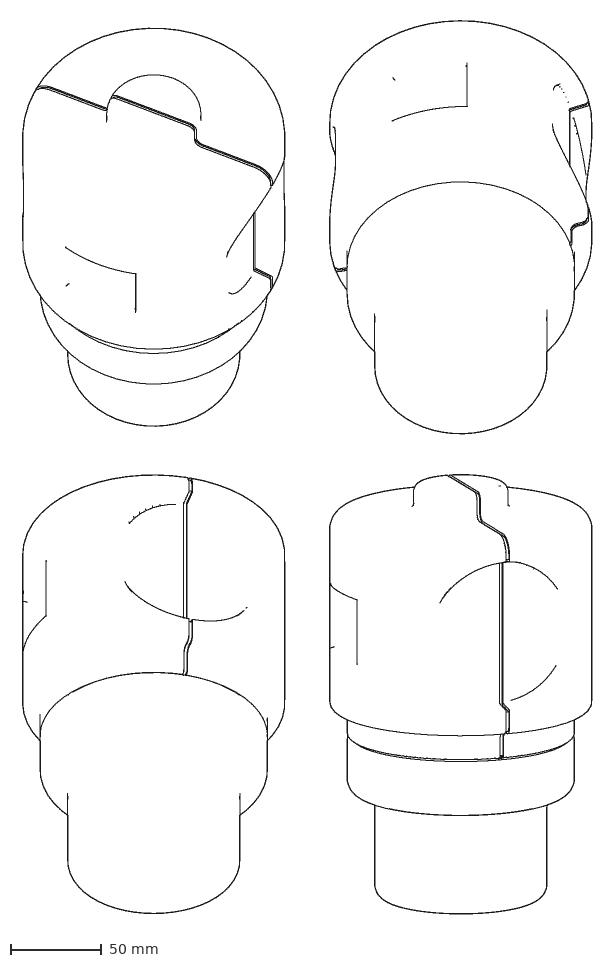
import cadquery as cq
import math

BODY_RADIUS = 72.5
COLLAR_RADIUS = 62.8
SHANK_RADIUS = 47.5
KNOB_RADIUS = 26.0

TOTAL_HEIGHT = 234.5
BODY_TOP = 219.3
BODY_BOTTOM = 107.5
GROOVE_MID = 91.5
COLLAR_BOTTOM = 67.5
SHANK_TOP = 50.7

SHANK_ROUND = 7.5
BODY_BOTTOM_ROUND = 4.0
BODY_TOP_ROUND = 10.3
KNOB_ROUND = 4.2

GROOVE_WIDTH = 1.5
GROOVE_DEPTH = 2.8
GROOVE_LIP_ROUND = 1.5

TURN_ANGLE = 6.7
DISC_ANGLES = (TURN_ANGLE, TURN_ANGLE + 180)
DRAFT_ANGLE = 9
RECESS_FLOOR_ROUND = 1.0
RECESS_LIP_ROUND = 1.0

DISC_MID = 163.5
DISC_FLOOR_DISTANCE = 62.0
DISC_FLOOR_RADIUS = 40.3
DISC_CUT_LENGTH = 18.8

WINDOW_MID = 160.5
WINDOW_FLOOR_DISTANCE = 67.0
WINDOW_WIDTH = 41.7
WINDOW_HEIGHT = 35.6
WINDOW_CUT_LENGTH = 9.4

SEAM_WIDTH = 2.0
SEAM_DEPTH = 1.2
SLAB_LENGTH = 2 * BODY_RADIUS + 2.3

SURFACE_TOLERANCE = 0.02


def quarter_arc(profile, center, radius, start_angle, turn):
    """Add a 90 degree arc about center; turn is +1 counter-clockwise, -1 clockwise."""
    def point(angle):
        return (
            center[0] + radius * math.cos(math.radians(angle)),
            center[1] + radius * math.sin(math.radians(angle)),
        )

    profile = profile.lineTo(*point(start_angle))
    return profile.threePointArc(point(start_angle + 45 * turn), point(start_angle + 90 * turn))


def half_profile():
    """Closed half section in the XZ plane, from the axis outward and upward."""
    groove_low = GROOVE_MID - GROOVE_WIDTH / 2
    groove_high = GROOVE_MID + GROOVE_WIDTH / 2
    lip_center = COLLAR_RADIUS - GROOVE_LIP_ROUND
    groove_floor = COLLAR_RADIUS - GROOVE_DEPTH
    step_mid = ((SHANK_RADIUS + COLLAR_RADIUS) / 2, (SHANK_TOP + COLLAR_BOTTOM) / 2)

    profile = cq.Workplane("XZ").moveTo(0, 0)
    profile = quarter_arc(profile, (SHANK_RADIUS - SHANK_ROUND, SHANK_ROUND), SHANK_ROUND, -90, 1)
    profile = profile.lineTo(SHANK_RADIUS, SHANK_TOP)

    profile = profile.tangentArcPoint(step_mid, relative=False)
    profile = profile.tangentArcPoint((COLLAR_RADIUS, COLLAR_BOTTOM), relative=False)

    profile = quarter_arc(profile, (lip_center, groove_low - GROOVE_LIP_ROUND), GROOVE_LIP_ROUND, 0, 1)
    profile = profile.lineTo(groove_floor, groove_low).lineTo(groove_floor, groove_high)
    profile = quarter_arc(profile, (lip_center, groove_high + GROOVE_LIP_ROUND), GROOVE_LIP_ROUND, -90, 1)

    neck_round_center = (COLLAR_RADIUS + BODY_BOTTOM_ROUND, BODY_BOTTOM - BODY_BOTTOM_ROUND)
    profile = quarter_arc(profile, neck_round_center, BODY_BOTTOM_ROUND, 180, -1)
    body_low_center = (BODY_RADIUS - BODY_BOTTOM_ROUND, BODY_BOTTOM + BODY_BOTTOM_ROUND)
    profile = quarter_arc(profile, body_low_center, BODY_BOTTOM_ROUND, -90, 1)
    body_high_center = (BODY_RADIUS - BODY_TOP_ROUND, BODY_TOP - BODY_TOP_ROUND)
    profile = quarter_arc(profile, body_high_center, BODY_TOP_ROUND, 0, 1)
    knob_low_center = (KNOB_RADIUS + KNOB_ROUND, BODY_TOP + KNOB_ROUND)
    profile = quarter_arc(profile, knob_low_center, KNOB_ROUND, -90, -1)
    knob_high_center = (KNOB_RADIUS - KNOB_ROUND, TOTAL_HEIGHT - KNOB_ROUND)
    profile = quarter_arc(profile, knob_high_center, KNOB_ROUND, 0, 1)
    return profile.lineTo(0, TOTAL_HEIGHT).close()


def revolve(profile):
    """Turn a closed half section once around Z."""
    return profile.revolve(360, (0, 0, 0), (0, 1, 0))


def recess_plane(angle, distance, height):
    """Upright plane facing outward at the given angle about Z."""
    direction = math.radians(angle)
    outward = cq.Vector(math.cos(direction), math.sin(direction), 0)
    sideways = cq.Vector(-math.sin(direction), math.cos(direction), 0)
    return cq.Plane(outward * distance + cq.Vector(0, 0, height), sideways, outward)


def round_floor_edges(cutter, plane):
    """Round the edges of a recess cutter that lie around the recess floor."""
    floor_face = cutter.faces(cq.selectors.NearestToPointSelector(plane.origin.toTuple()))
    return floor_face.edges().fillet(RECESS_FLOOR_ROUND)


def window_cutter(angle):
    """Rectangular recess with drafted walls and a rounded floor edge."""
    growth = 2 * WINDOW_CUT_LENGTH * math.tan(math.radians(DRAFT_ANGLE))
    plane = recess_plane(angle, WINDOW_FLOOR_DISTANCE, WINDOW_MID)
    cutter = (
        cq.Workplane(plane)
        .rect(WINDOW_WIDTH, WINDOW_HEIGHT)
        .workplane(offset=WINDOW_CUT_LENGTH)
        .rect(WINDOW_WIDTH + growth, WINDOW_HEIGHT + growth)
        .loft(ruled=True)
    )
    return round_floor_edges(cutter, plane)


def disc_cutter(angle, extra_size=0.0):
    """Round recess with drafted walls; extra_size deepens and widens it."""
    plane = recess_plane(angle, DISC_FLOOR_DISTANCE - extra_size, DISC_MID)
    floor = cq.Workplane(plane).circle(DISC_FLOOR_RADIUS + extra_size)
    return round_floor_edges(floor.extrude(DISC_CUT_LENGTH, taper=-DRAFT_ANGLE), plane)


def on_body_surface(edge):
    """True for an edge of a recess mouth, lying on the outer cylinder of the body."""
    lowest = BODY_BOTTOM + BODY_BOTTOM_ROUND + SURFACE_TOLERANCE
    highest = BODY_TOP - BODY_TOP_ROUND - SURFACE_TOLERANCE
    return all(
        abs(math.hypot(point.x, point.y) - BODY_RADIUS) < SURFACE_TOLERANCE and lowest < point.z < highest
        for point in edge.positions([0, 0.25, 0.5, 0.75, 1])
    )


def cut_recesses(solid):
    """Cut all four recesses and round their lips at the outer surface."""
    for angle in DISC_ANGLES:
        solid = solid.cut(disc_cutter(angle))
        solid = solid.cut(window_cutter(angle + 90))
    return solid.edges().filter(on_body_surface).fillet(RECESS_LIP_ROUND)


def cut_seam(solid):
    """Cut a shallow seam that follows the surface of the upper shells."""
    core = revolve(half_profile().offset2D(-SEAM_DEPTH))
    core = core.union(cq.Workplane("XY").circle(2 * SEAM_DEPTH).extrude(TOTAL_HEIGHT - SEAM_DEPTH))
    for angle in DISC_ANGLES:
        core = core.cut(disc_cutter(angle, SEAM_DEPTH))
    slab = (
        cq.Workplane("XY", origin=(0, 0, GROOVE_MID))
        .center(0, -SEAM_WIDTH / 2)
        .rect(SLAB_LENGTH, SEAM_WIDTH)
        .extrude(TOTAL_HEIGHT - GROOVE_MID)
        .rotate((0, 0, 0), (0, 0, 1), TURN_ANGLE)
    )
    return solid.cut(slab.cut(core))


result = cut_seam(cut_recesses(revolve(half_profile())))